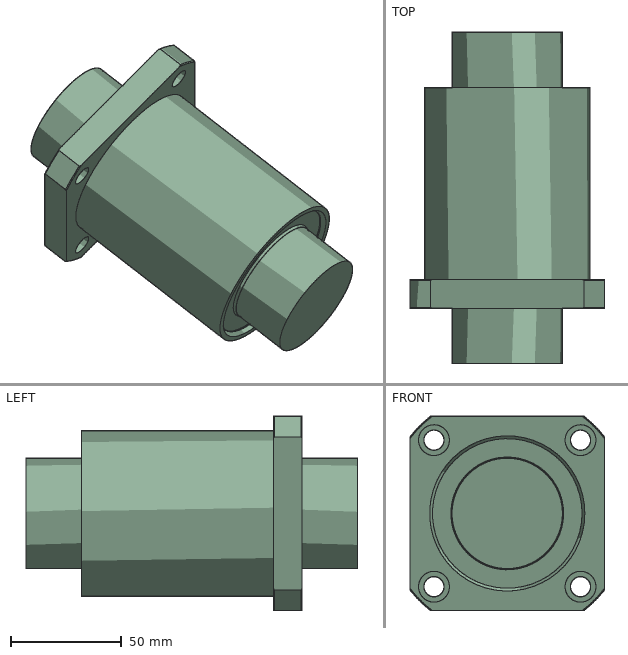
import cadquery as cq

shaft_length = 150.0
shaft_diameter = 50.0

sleeve_diameter = 75.0
shaft_overhang = 25.0
sleeve_length = shaft_length - 2 * shaft_overhang
sleeve_front = -sleeve_length / 2

flange_width = 88.0
flange_thickness = 13.0
flange_disc_diameter = 112.0
rim_chamfer = 0.5

hole_spacing = 66.3
hole_diameter = 9.0
counterbore_diameter = 14.0
counterbore_depth = 8.5

recess_mouth_diameter = 70.2
recess_floor_diameter = 67.6
taper_depth = 2.0
recess_depth = 2.5
recess_floor = sleeve_front + recess_depth

lip_base_diameter = 51.0
lip_tip_diameter = 50.2
lip_height = 1.4


def front_plane(y):
    """Plane across the shaft axis at y, with its normal pointing forward (-Y)."""
    return cq.Workplane("XZ", origin=(0, y, 0))


def cone(y, start_diameter, end_diameter, height):
    """Frustum that runs forward from y."""
    section = front_plane(y).circle(start_diameter / 2)
    return section.workplane(offset=height).circle(end_diameter / 2).loft(ruled=True)


def make_flange():
    flange_back = sleeve_front + flange_thickness
    disc = front_plane(flange_back).circle(flange_disc_diameter / 2).extrude(flange_thickness)
    disc = disc.edges().chamfer(rim_chamfer)
    square = front_plane(flange_back).rect(flange_width, flange_width).extrude(flange_thickness)
    return (
        disc.intersect(square)
        .copyWorkplane(front_plane(sleeve_front))
        .rect(hole_spacing, hole_spacing, forConstruction=True)
        .vertices()
        .cboreHole(hole_diameter, counterbore_diameter, counterbore_depth)
    )


def make_sleeve():
    return front_plane(sleeve_length / 2).circle(sleeve_diameter / 2).extrude(sleeve_length)


def make_front_recess():
    taper_floor = sleeve_front + taper_depth
    taper = cone(taper_floor, recess_floor_diameter, recess_mouth_diameter, taper_depth)
    straight_depth = recess_depth - taper_depth
    straight = front_plane(recess_floor).circle(recess_floor_diameter / 2).extrude(straight_depth)
    return taper.union(straight)


front_recess = make_front_recess()
front_lip = cone(recess_floor, lip_base_diameter, lip_tip_diameter, lip_height)
shaft = front_plane(shaft_length / 2).circle(shaft_diameter / 2).extrude(shaft_length)

result = (
    make_sleeve()
    .union(make_flange())
    .cut(front_recess)
    .cut(front_recess.mirror("XZ"))
    .union(front_lip)
    .union(front_lip.mirror("XZ"))
    .union(shaft)
)